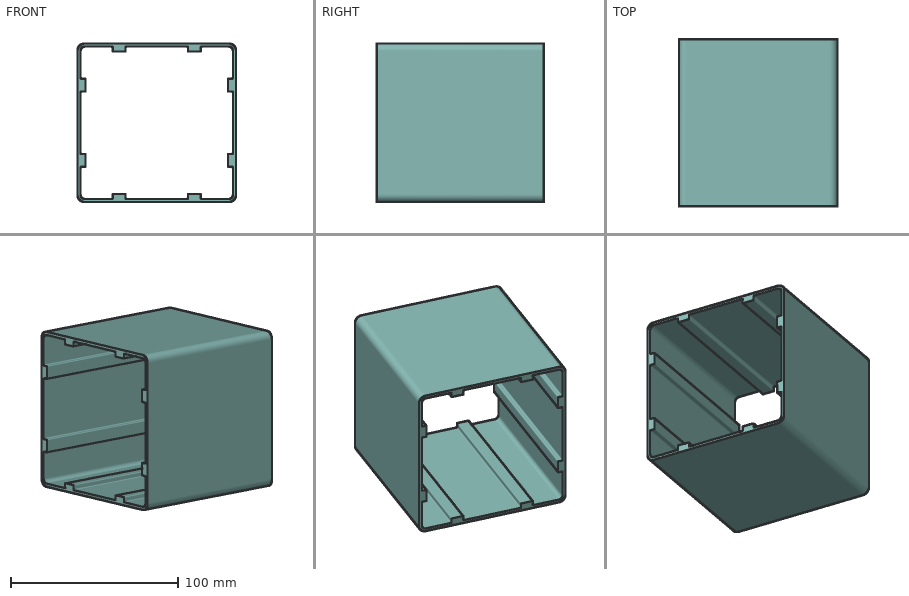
import cadquery as cq

side = 95.0
length = 100.0
wall = 2.0
outer_radius = 4.5
inner_radius = outer_radius - wall
rib_width = 7.7
rib_height = 3.0
rib_offset = 22.5
root_fillet = 0.6
tip_fillet = 0.5

bore = side - 2 * wall


def square_bar(width, corner_radius):
    """Solid square bar along Y with rounded long edges."""
    return cq.Workplane("XY").box(width, length, width).edges("|Y").fillet(corner_radius)


def floor_rib():
    """Rib on the +X half of the lower wall, with rounded tip edges and filleted roots."""
    floor = -bore / 2
    embedded = floor - wall / 2
    top = floor + rib_height
    left = rib_offset - rib_width / 2
    right = rib_offset + rib_width / 2
    return (
        cq.Workplane("XZ", origin=(0, length / 2, 0))
        .moveTo(left - root_fillet, embedded)
        .lineTo(left - root_fillet, floor)
        .radiusArc((left, floor + root_fillet), -root_fillet)
        .lineTo(left, top - tip_fillet)
        .radiusArc((left + tip_fillet, top), tip_fillet)
        .lineTo(right - tip_fillet, top)
        .radiusArc((right, top - tip_fillet), tip_fillet)
        .lineTo(right, floor + root_fillet)
        .radiusArc((right + root_fillet, floor), -root_fillet)
        .lineTo(right + root_fillet, embedded)
        .close()
        .extrude(length)
    )


result = square_bar(side, outer_radius).cut(square_bar(bore, inner_radius))
right_rib = floor_rib()
rib_pair = right_rib.union(right_rib.mirror("YZ"))
for quarter_turn in range(4):
    result = result.union(rib_pair.rotate((0, 0, 0), (0, 1, 0), 90 * quarter_turn))